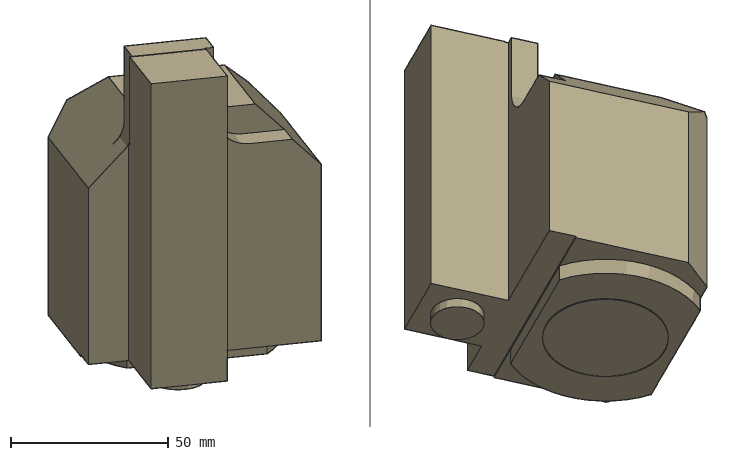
import cadquery as cq


total_length = 83.0
total_width = 77.0
total_height = 110.5

housing_length = 56.9
housing_bottom = 6.0
housing_top = 86.0
left_top_bevel = 12.0
side_top_bevel = 19.3
corner_bevel = 10.0
relief_depth = 0.5

column_width = 25.2
column_front = -25.2
plate_left = 48.0
plate_right = 58.0
plate_front = -24.2
plate_back = 2.9
shoulder_height = 76.2
front_fillet = 9.2
front_fillet_top = 84.9
front_fillet_reach = 3.6
plate_top_drop = 0.2
back_fillet = 12.2

pad_diameter = 66.3
pad_left = 0.3
pad_right = 47.8
pad_bottom = 0.3
disc_diameter = 40.0
pin_diameter = 17.0
pin_bottom = 3.2
pin_x = 69.6

half_width = total_width / 2
overlap = 1.1
pad_center = (pad_left + pad_right) / 2
column_bottom = housing_bottom + relief_depth
plate_top = total_height - plate_top_drop
fillet_foot_y = plate_front - front_fillet_reach
fillet_foot_z = housing_top - side_top_bevel + half_width + fillet_foot_y


def box(x_range, y_range, z_range):
    """Box spanning the given minimum and maximum on each axis."""
    (x0, x1), (y0, y1), (z0, z1) = x_range, y_range, z_range
    return cq.Workplane("XY").box(x1 - x0, y1 - y0, z1 - z0, centered=False).translate((x0, y0, z0))


def cylinder(diameter, x, y, bottom, top):
    """Vertical cylinder between two heights."""
    return cq.Workplane("XY", origin=(x, y, bottom)).circle(diameter / 2).extrude(top - bottom)


def make_housing():
    """Block with bevelled top edges and bevelled vertical corners on the left."""
    side_profile = [
        (0, housing_bottom),
        (plate_left, housing_bottom),
        (plate_left, column_bottom),
        (housing_length, column_bottom),
        (housing_length, housing_top),
        (left_top_bevel, housing_top),
        (0, housing_top - left_top_bevel),
    ]
    end_profile = [
        (-half_width, 0),
        (half_width, 0),
        (half_width, housing_top - side_top_bevel),
        (half_width - side_top_bevel, housing_top),
        (side_top_bevel - half_width, housing_top),
        (-half_width, housing_top - side_top_bevel),
    ]
    plan_profile = [
        (0, corner_bevel - half_width),
        (corner_bevel, -half_width),
        (housing_length, -half_width),
        (housing_length, half_width),
        (corner_bevel, half_width),
        (0, half_width - corner_bevel),
    ]
    side = cq.Workplane("XZ").polyline(side_profile).close().extrude(half_width, both=True)
    end = cq.Workplane("YZ").polyline(end_profile).close().extrude(housing_length)
    plan = cq.Workplane("XY").polyline(plan_profile).close().extrude(housing_top)
    return side.intersect(end).intersect(plan)


def make_upright(left, right):
    """Upright plate with a concave fillet down to the shoulder and one down to the front bevel."""
    return (
        cq.Workplane("YZ", origin=(left, 0, 0))
        .moveTo(fillet_foot_y, shoulder_height)
        .lineTo(plate_back + back_fillet, shoulder_height)
        .radiusArc((plate_back, shoulder_height + back_fillet), back_fillet)
        .lineTo(plate_back, plate_top)
        .lineTo(plate_front, plate_top)
        .lineTo(plate_front, front_fillet_top)
        .radiusArc((fillet_foot_y, fillet_foot_z), front_fillet)
        .close()
        .extrude(right - left)
    )


def add_plate(housing_and_column):
    """Replace everything above the shoulder in the plate's band with the upright plate."""
    shoulder_space = box(
        (plate_left, plate_right),
        (fillet_foot_y, half_width),
        (shoulder_height, total_height + overlap),
    )
    carved = housing_and_column.cut(shoulder_space.cut(make_upright(plate_left, plate_right)))
    return carved.union(make_upright(plate_left, housing_length))


def make_pad():
    """Round pad with flats on its left and right, carrying a thin disc underneath."""
    blank = cylinder(pad_diameter, pad_center, 0, pad_bottom, housing_bottom)
    limits = box((pad_left, pad_right), (-half_width, half_width), (0, housing_bottom))
    return blank.intersect(limits).union(cylinder(disc_diameter, pad_center, 0, 0, housing_bottom))


column = box(
    (housing_length, total_length),
    (column_front, column_front + column_width),
    (column_bottom, total_height),
)
pin_y = column_front + column_width / 2
pin = cylinder(pin_diameter, pin_x, pin_y, pin_bottom, column_bottom)

result = add_plate(make_housing().union(column)).union(make_pad()).union(pin)